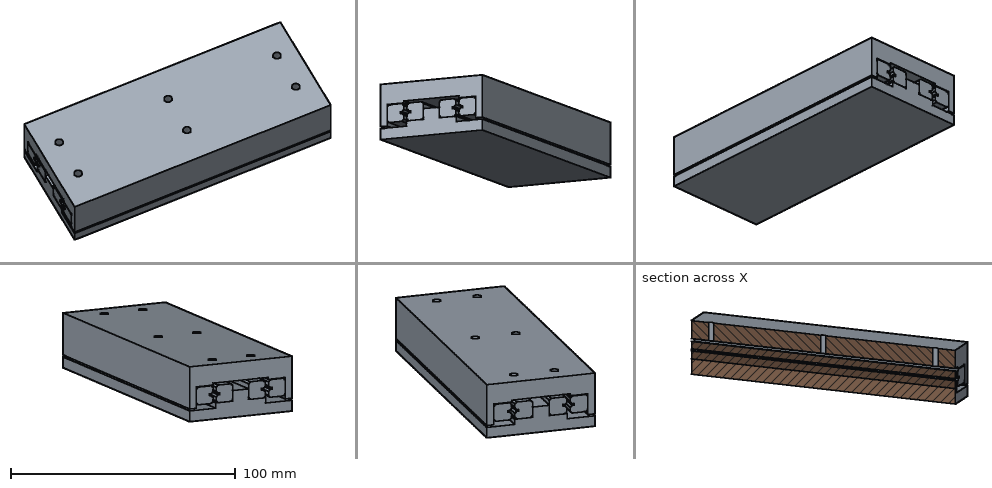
import cadquery as cq

LENGTH = 127.0
WIDTH = 50.8
HEIGHT = 25.0

BASE_THICKNESS = 5.0
PEDESTAL_WIDTH = 24.8
TONGUE_WIDTH = 7.9
TONGUE_TOP = 12.2

TABLE_BOTTOM = 5.8
CHANNEL_WIDTH = 44.1
CHANNEL_TOP = 15.6
RELIEF_WIDTH = 27.3
RELIEF_TOP = 16.5

RAIL_GAP = 1.5
RAIL_PAIR_WIDTH = (CHANNEL_WIDTH - TONGUE_WIDTH) / 2
RAIL_WIDTH = (RAIL_PAIR_WIDTH - RAIL_GAP) / 2
RAIL_HEIGHT = 8.0
RAIL_BOTTOM = 7.4
RAIL_CHAMFER = 0.9
GROOVE_HALF_OPENING = 1.3
SLOT_HALF_WIDTH = 0.4
SLOT_DEPTH = 1.8

HOLE_DIAMETER = 3.5
HOLE_SPACING_X = 19.0
HOLE_SPACING_Y = 54.0
HOLE_COLUMNS = 2
HOLE_ROWS = 3


def extrude_profile(points):
    """Extrude a closed XZ outline over the full length, centred on Y = 0."""
    return cq.Workplane("XZ").polyline(points).close().extrude(LENGTH / 2, both=True)


def mirrored(right_half):
    """Close a right-half outline with its mirror image across X = 0."""
    left_half = [(-x, z) for x, z in reversed(right_half)]
    return right_half + left_half


def make_base():
    """Plate with a pedestal under the inner rails and a tongue between them."""
    return extrude_profile(mirrored([
        (WIDTH / 2, 0),
        (WIDTH / 2, BASE_THICKNESS),
        (PEDESTAL_WIDTH / 2, BASE_THICKNESS),
        (PEDESTAL_WIDTH / 2, RAIL_BOTTOM),
        (TONGUE_WIDTH / 2, RAIL_BOTTOM),
        (TONGUE_WIDTH / 2, TONGUE_TOP),
    ]))


def make_table():
    """Inverted channel with a relieved ceiling and through mounting holes."""
    table = extrude_profile(mirrored([
        (RELIEF_WIDTH / 2, RELIEF_TOP),
        (RELIEF_WIDTH / 2, CHANNEL_TOP),
        (CHANNEL_WIDTH / 2, CHANNEL_TOP),
        (CHANNEL_WIDTH / 2, TABLE_BOTTOM),
        (WIDTH / 2, TABLE_BOTTOM),
        (WIDTH / 2, HEIGHT),
    ]))
    holes = (
        cq.Workplane("XY", origin=(0, 0, RELIEF_TOP))
        .rarray(HOLE_SPACING_X, HOLE_SPACING_Y, HOLE_COLUMNS, HOLE_ROWS)
        .circle(HOLE_DIAMETER / 2)
        .extrude(HEIGHT - RELIEF_TOP)
    )
    return table.cut(holes)


def make_rail(back_x, facing):
    """Rail with its back at back_x; its grooved side faces +X (facing 1) or -X (facing -1)."""
    middle_z = RAIL_BOTTOM + RAIL_HEIGHT / 2
    face_x = back_x + facing * RAIL_WIDTH
    vee_x = face_x - facing * (GROOVE_HALF_OPENING - SLOT_HALF_WIDTH)
    slot_x = face_x - facing * SLOT_DEPTH

    block = extrude_profile([
        (back_x, RAIL_BOTTOM),
        (face_x, RAIL_BOTTOM),
        (face_x, RAIL_BOTTOM + RAIL_HEIGHT),
        (back_x, RAIL_BOTTOM + RAIL_HEIGHT),
    ]).edges("|Y").chamfer(RAIL_CHAMFER)
    groove = extrude_profile([
        (face_x, middle_z + GROOVE_HALF_OPENING),
        (vee_x, middle_z + SLOT_HALF_WIDTH),
        (slot_x, middle_z + SLOT_HALF_WIDTH),
        (slot_x, middle_z - SLOT_HALF_WIDTH),
        (vee_x, middle_z - SLOT_HALF_WIDTH),
        (face_x, middle_z - GROOVE_HALF_OPENING),
    ])
    return block.cut(groove)


base = make_base()
table = make_table()

rails = []
for side in (-1, 1):
    rails.append(make_rail(side * TONGUE_WIDTH / 2, side))
    rails.append(make_rail(side * CHANNEL_WIDTH / 2, -side))

result = cq.Compound.makeCompound([base.val(), table.val(), *[rail.val() for rail in rails]])